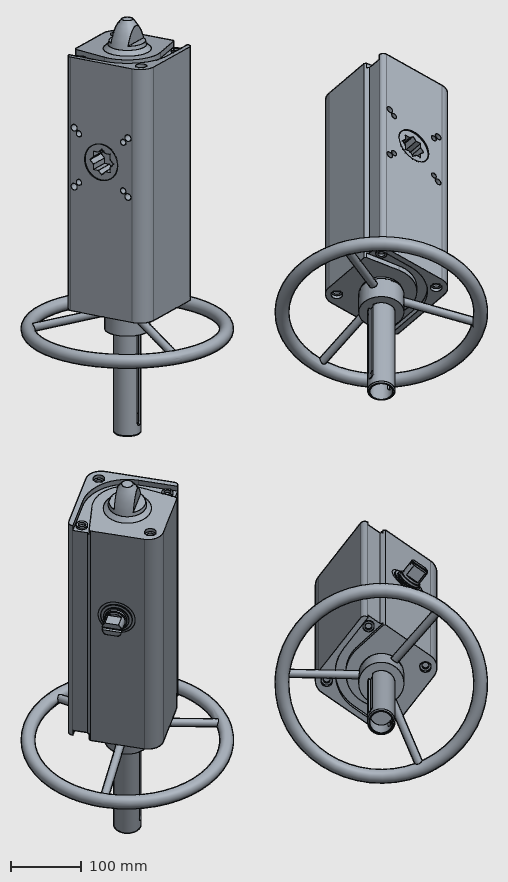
import cadquery as cq
import math


housing_length = 379.0
near_side = 62.5
far_side = 73.0
step_depth = 5.5
step_start = 38.5
large_corner_radius = 22.0
small_corner_radius = 7.1

groove_depth = 8.5
groove_inner_radius = 50.0
groove_outer_radius = 65.0
groove_flare = 9.5
groove_reach = 80.5

screw_pitch = 99.5
screw_head_diameter = 16.0
screw_head_height = 3.0
socket_diameter = 10.0
socket_depth = 4.5

dome_base_radius = 34.0
dome_foot_radius = 27.0
dome_foot_height = 6.0
dome_mid_radius = 20.1
dome_mid_height = 26.0
dome_tip_radius = 8.0
dome_tip_height = 44.0
dome_height = 45.0
dome_blade_width = 28.0
dome_blade_foot = 12.0

rim_radius = 140.15
rim_diameter = 20.0
rim_height = -40.0
neck_diameter = 60.0
neck_length = 5.0
hub_diameter = 64.0
spoke_diameter = 12.0
spoke_root_height = -7.5
spoke_angles = (90, 210, 330)

tube_diameter = 39.0
tube_end = -195.0
tube_chamfer = 2.0
bore_diameter = 32.0
rod_end = -164.0
slot_width = 9.0
slot_end = -180.5

pinion_height = 230.0
pinion_diameter = 54.0
pinion_setback = 2.0
star_square = 27.0
star_depth = 31.0
flange_diameter = 46.0
flange_end = 64.5
ring_diameter = 37.0
ring_end = 66.0
collar_diameter = 32.0
collar_end = 70.0
stub_diameter = 28.5
stub_flat_start = 73.5
stub_end = 91.5
stub_flat_width = 20.5
stub_slot_width = 5.0
stub_slot_depth = 4.5

mounting_holes = ((36.2, 8.5), (44.0, 10.0))
mounting_hole_depth = 18.5
drill_point_angle = 118

housing_centre = (far_side - near_side) / 2
front_face = -far_side


def mirrored(point):
    """Reflect a point in the diagonal y = -x."""
    return (-point[1], -point[0])


def cylinder_y(diameter, start, end):
    """Cylinder about the pinion axis, from y = start to y = end."""
    plane = cq.Plane(origin=(0, start, pinion_height), xDir=(1, 0, 0), normal=(0, 1, 0))
    return cq.Workplane(plane).circle(diameter / 2).extrude(end - start)


def make_extrusion():
    stepped_side = near_side - step_depth
    step_finish = step_start + step_depth
    outline = [
        (-near_side, near_side),
        (step_start, near_side),
        (step_finish, stepped_side),
        (far_side, stepped_side),
        (far_side, -far_side),
        (-stepped_side, -far_side),
        (-stepped_side, -step_finish),
        (-near_side, -step_start),
    ]
    body = cq.Workplane("XY").polyline(outline).close().extrude(housing_length)
    for corner in ((-near_side, near_side), (far_side, -far_side)):
        body = body.edges(edge_at(corner)).fillet(large_corner_radius)
    for corner in ((far_side, stepped_side), (-stepped_side, -far_side)):
        body = body.edges(edge_at(corner)).fillet(small_corner_radius)
    return body


def edge_at(corner):
    """Selector for the vertical housing edge at a corner of its outline."""
    return cq.selectors.NearestToPointSelector((*corner, housing_length / 2))


def make_groove():
    """Curved band, open at the +Y and -X sides of the housing."""
    flare = math.radians(groove_flare)
    diagonal = math.sqrt(0.5)
    tangent = (groove_inner_radius * math.cos(flare), groove_inner_radius * math.sin(flare))
    mouth = (tangent[0] - (groove_reach - tangent[1]) * math.tan(flare), groove_reach)
    return (
        cq.Workplane("XY")
        .moveTo(*mouth)
        .lineTo(*tangent)
        .threePointArc(
            (groove_inner_radius * diagonal, -groove_inner_radius * diagonal), mirrored(tangent)
        )
        .lineTo(*mirrored(mouth))
        .lineTo(-groove_reach, -groove_outer_radius)
        .lineTo(0, -groove_outer_radius)
        .threePointArc(
            (groove_outer_radius * diagonal, -groove_outer_radius * diagonal),
            (groove_outer_radius, 0),
        )
        .lineTo(groove_outer_radius, groove_reach)
        .close()
        .extrude(groove_depth)
    )


def screw_cylinders(diameter, start, height):
    """Cylinders at the four screw positions."""
    return (
        cq.Workplane("XY", origin=(housing_centre, -housing_centre, start))
        .rect(screw_pitch, screw_pitch, forConstruction=True)
        .vertices()
        .circle(diameter / 2)
        .extrude(height)
    )


def finish_ends(body):
    """Cut the groove and sink the screws in both end faces."""
    groove = make_groove()
    pit_depth = groove_depth - screw_head_height
    lower_heads = screw_cylinders(screw_head_diameter, pit_depth, screw_head_height)
    lower_pits = screw_cylinders(screw_head_diameter, 0, pit_depth)
    lower_sockets = screw_cylinders(socket_diameter, pit_depth, socket_depth)
    middle = (0, 0, housing_length / 2)

    def both_ends(shape):
        return shape, shape.mirror("XY", middle)

    for shape in both_ends(groove):
        body = body.cut(shape)
    for shape in both_ends(lower_heads):
        body = body.union(shape)
    for shape in (*both_ends(lower_pits), *both_ends(lower_sockets)):
        body = body.cut(shape)
    return body


def make_dome():
    """Domed indicator with a flat on either side of a central blade."""
    dome = (
        cq.Workplane("XZ")
        .moveTo(0, 0)
        .lineTo(dome_base_radius, 0)
        .lineTo(dome_foot_radius, dome_foot_height)
        .threePointArc((dome_mid_radius, dome_mid_height), (dome_tip_radius, dome_tip_height))
        .lineTo(0, dome_height)
        .close()
        .revolve(360, (0, 0, 0), (0, 1, 0))
    )
    side_width = dome_base_radius
    for side in (-1, 1):
        side_cut = cq.Workplane("XY").box(
            side_width, 2 * dome_base_radius, dome_height, centered=(True, True, False)
        )
        dome = dome.cut(
            side_cut.translate((side * (dome_blade_width + side_width) / 2, 0, dome_blade_foot))
        )
    return dome.translate((0, 0, housing_length))


def make_mounting_hole(diameter):
    """Blind drilled hole along +Y from the origin."""
    radius = diameter / 2
    point_length = radius / math.tan(math.radians(drill_point_angle / 2))
    return (
        cq.Workplane("XY")
        .polyline(
            [
                (0, 0),
                (radius, 0),
                (radius, mounting_hole_depth),
                (0, mounting_hole_depth + point_length),
            ]
        )
        .close()
        .revolve(360, (0, 0, 0), (0, 1, 0))
    )


def drill_mounting_holes(body):
    for offset, diameter in mounting_holes:
        hole = make_mounting_hole(diameter)
        for side in (-1, 1):
            for level in (-1, 1):
                place = (side * offset, front_face, pinion_height + level * offset)
                body = body.cut(hole.translate(place))
    return body


def make_spoke(angle):
    """Sloping spoke from the hub to the centre line of the rim."""
    drop = rim_height - spoke_root_height
    start_radius = neck_diameter / 4
    start = cq.Vector(start_radius, 0, spoke_root_height + drop * start_radius / rim_radius)
    line = cq.Vector(rim_radius, 0, rim_height) - start
    plane = cq.Plane(origin=start, xDir=(0, 1, 0), normal=line)
    spoke = cq.Workplane(plane).circle(spoke_diameter / 2).extrude(line.Length)
    return spoke.rotate((0, 0, 0), (0, 0, 1), angle)


def make_handwheel():
    neck = cq.Workplane("XY").circle(neck_diameter / 2).extrude(-neck_length)
    hub = (
        cq.Workplane("XY", origin=(0, 0, -neck_length))
        .circle(hub_diameter / 2)
        .extrude(rim_height + neck_length)
    )
    rim_path = cq.Workplane("XY", origin=(0, 0, rim_height)).circle(rim_radius)
    rim = (
        cq.Workplane("XZ", origin=(rim_radius, 0, rim_height))
        .circle(rim_diameter / 2)
        .sweep(rim_path)
    )
    wheel = rim
    for angle in spoke_angles:
        wheel = wheel.union(make_spoke(angle), clean=False)
    return wheel.union(neck.union(hub), clean=False)


def make_spindle():
    """Tube slotted along X on both sides, filled by the rod down to the rod end."""
    tube = (
        cq.Workplane("XY", origin=(0, 0, tube_end))
        .circle(tube_diameter / 2)
        .extrude(rim_height - tube_end)
        .faces("<Z")
        .chamfer(tube_chamfer)
    )
    bore = (
        cq.Workplane("XY", origin=(0, 0, tube_end))
        .circle(bore_diameter / 2)
        .extrude(rod_end - tube_end)
    )
    rod = (
        cq.Workplane("XY", origin=(0, 0, rod_end))
        .circle(bore_diameter / 2)
        .extrude(rim_height - rod_end)
    )
    slot_radius = slot_width / 2
    slot_round = slot_end + slot_radius
    slot = (
        cq.Workplane("YZ")
        .moveTo(-slot_radius, rim_height)
        .lineTo(-slot_radius, slot_round)
        .threePointArc((0, slot_end), (slot_radius, slot_round))
        .lineTo(slot_radius, rim_height)
        .close()
        .extrude(tube_diameter, both=True)
    )
    return tube.cut(bore).cut(slot.cut(rod))


def make_housing():
    """Housing with its indicator dome, handwheel and spindle."""
    body = finish_ends(make_extrusion())
    body = drill_mounting_holes(body)
    body = body.cut(cylinder_y(pinion_diameter, front_face, near_side))
    return body.union(make_dome()).union(make_spindle()).union(make_handwheel(), clean=False)


def make_pinion():
    """Drive pinion: eight-pointed star socket at the front, slotted stub at the back."""
    face = front_face + pinion_setback
    pinion = cylinder_y(pinion_diameter, face, near_side)
    pinion = pinion.union(cylinder_y(flange_diameter, near_side, flange_end))
    pinion = pinion.union(cylinder_y(ring_diameter, flange_end, ring_end))
    pinion = pinion.union(cylinder_y(collar_diameter, ring_end, collar_end))

    flats = cq.Workplane("XY").box(
        stub_diameter, stub_end - stub_flat_start, stub_flat_width, centered=(True, False, True)
    )
    stub = cylinder_y(stub_diameter, stub_flat_start, stub_end).intersect(
        flats.translate((0, stub_flat_start, pinion_height))
    )
    pinion = pinion.union(cylinder_y(stub_diameter, collar_end, stub_flat_start)).union(stub)

    slot = cq.Workplane("XY").box(stub_diameter, 2 * stub_slot_depth, stub_slot_width)
    pinion = pinion.cut(slot.translate((0, stub_end, pinion_height)))

    square = cq.Workplane("XY").box(
        star_square, star_depth, star_square, centered=(True, False, True)
    )
    for turn in (0, 45):
        point = square.rotate((0, 0, 0), (0, 1, 0), turn)
        pinion = pinion.cut(point.translate((0, face, pinion_height)))
    return pinion


housing = make_housing()
pinion = make_pinion()

result = cq.Compound.makeCompound([housing.val(), pinion.val()])